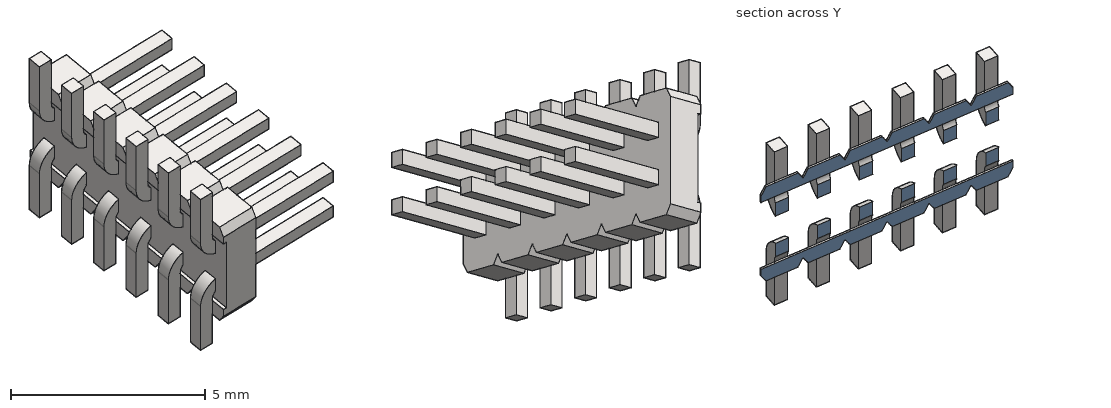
import cadquery as cq
import math

pin_columns = 6
body_length = 7.62
body_height = 3.4
body_depth = 1.1
channel_height = 2.385
channel_depth = 0.1
notch_depth = 0.26
notch_half_width = 0.15
pin_size = 0.405
tail_length = 3.0
foot_span = 5.5
bend_inner_radius = 0.305

pitch = body_length / pin_columns
bend_outer_radius = bend_inner_radius + pin_size
half_length = body_length / 2
half_height = body_height / 2


def top_edge_points():
    """Upper body edge from -X to +X: one chamfered segment per pin column."""
    points = [(-half_length, half_height - notch_depth)]
    for column in range(pin_columns):
        left = -half_length + column * pitch
        right = left + pitch
        points.append((left + notch_half_width, half_height))
        points.append((right - notch_half_width, half_height))
        points.append((right, half_height - notch_depth))
    return points


def make_body():
    """Notched block with a shallow channel along its front face."""
    top_edge = top_edge_points()
    bottom_edge = [(x, -z) for x, z in reversed(top_edge)]
    block = cq.Workplane("XZ").polyline(top_edge + bottom_edge).close().extrude(-body_depth)
    channel = cq.Workplane("XY").box(
        body_length, channel_depth, channel_height, centered=(True, False, True)
    )
    return block.cut(channel)


def make_upper_pin():
    """Bent pin centred on X = 0: a tail towards +Y and a foot rising along +Z."""
    tail_end = body_depth + tail_length
    tail_bottom = (pitch - pin_size) / 2
    tail_top = tail_bottom + pin_size
    foot_tip = foot_span / 2
    bend_y = bend_inner_radius
    bend_z = tail_bottom + bend_outer_radius
    diagonal = math.sqrt(0.5)

    def bend_middle(radius):
        return (bend_y - radius * diagonal, bend_z - radius * diagonal)

    return (
        cq.Workplane("YZ")
        .moveTo(tail_end, tail_bottom)
        .lineTo(bend_y, tail_bottom)
        .threePointArc(bend_middle(bend_outer_radius), (-pin_size, bend_z))
        .lineTo(-pin_size, foot_tip)
        .lineTo(0, foot_tip)
        .lineTo(0, bend_z)
        .threePointArc(bend_middle(bend_inner_radius), (bend_y, tail_top))
        .lineTo(tail_end, tail_top)
        .close()
        .extrude(pin_size / 2, both=True)
    )


result = make_body()
upper_pin = make_upper_pin()
lower_pin = upper_pin.mirror("XY")
for column in range(pin_columns):
    column_x = -half_length + (column + 0.5) * pitch
    for pin in (upper_pin, lower_pin):
        result = result.union(pin.translate((column_x, 0, 0)))